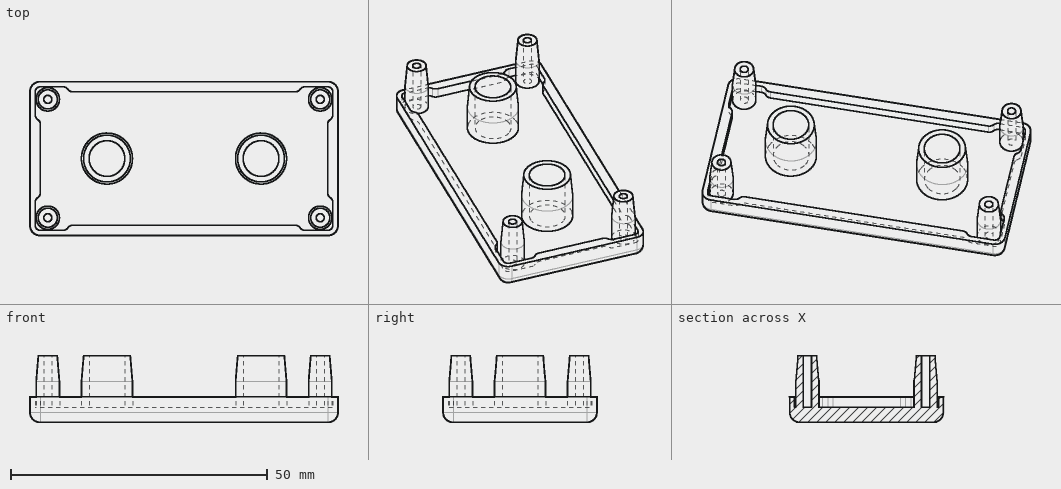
import cadquery as cq

length = 60.0
width = 30.0
rim_height = 5.0
floor_height = 3.0
edge_radius = 2.0

thin_wall = 1.0
thick_wall = 2 * thin_wall
cavity_corner_radius = 1.0
thin_run = 6.4
step_run = 2.0

total_height = 13.0
taper_start = 8.05
post_x = 26.5
post_y = 11.5
post_radius = 2.3
post_top_radius = 1.85
post_hole_radius = 0.8
socket_x = length / 4
socket_radius = 5.0
socket_top_radius = 4.55
socket_hole_radius = 3.5


def quarter_cavity():
    """Cavity in the +X +Y quadrant, including its widened corner."""
    thin_x = length / 2 - thin_wall
    thin_y = width / 2 - thin_wall
    thick_x = length / 2 - thick_wall
    thick_y = width / 2 - thick_wall
    step_x = length / 2 - thin_run
    step_y = width / 2 - thin_run
    mid_x = (thin_x + thick_x) / 2
    mid_y = (thin_y + thick_y) / 2
    return (
        cq.Workplane("XY")
        .workplane(offset=floor_height)
        .lineTo(thick_x, 0)
        .lineTo(thick_x, step_y - step_run)
        .tangentArcPoint((mid_x, step_y - step_run / 2), relative=False)
        .tangentArcPoint((thin_x, step_y), relative=False)
        .lineTo(thin_x, thin_y - cavity_corner_radius)
        .tangentArcPoint((thin_x - cavity_corner_radius, thin_y), relative=False)
        .lineTo(step_x, thin_y)
        .tangentArcPoint((step_x - step_run / 2, mid_y), relative=False)
        .tangentArcPoint((step_x - step_run, thick_y), relative=False)
        .lineTo(0, thick_y)
        .close()
        .extrude(rim_height - floor_height)
    )


def tapered_tube(radius, top_radius, hole_radius):
    """Tube standing on the floor, tapered on the outside, with a straight bore."""
    return (
        cq.Workplane("XZ")
        .moveTo(hole_radius, floor_height)
        .lineTo(radius, floor_height)
        .lineTo(radius, taper_start)
        .lineTo(top_radius, total_height)
        .lineTo(hole_radius, total_height)
        .close()
        .revolve(360, (0, 0), (0, 1))
    )


tray = (
    cq.Workplane("XY")
    .box(length, width, rim_height, centered=(True, True, False))
    .edges("|Z")
    .fillet(edge_radius)
    .faces("<Z")
    .edges()
    .fillet(edge_radius)
)

half_cavity = quarter_cavity().union(quarter_cavity().mirror("YZ"))
cavity = half_cavity.union(half_cavity.mirror("XZ"))
result = tray.cut(cavity)

post = tapered_tube(post_radius, post_top_radius, post_hole_radius)
socket = tapered_tube(socket_radius, socket_top_radius, socket_hole_radius)
for side_x in (-1, 1):
    result = result.union(socket.translate((side_x * socket_x, 0, 0)))
    for side_y in (-1, 1):
        result = result.union(post.translate((side_x * post_x, side_y * post_y, 0)))